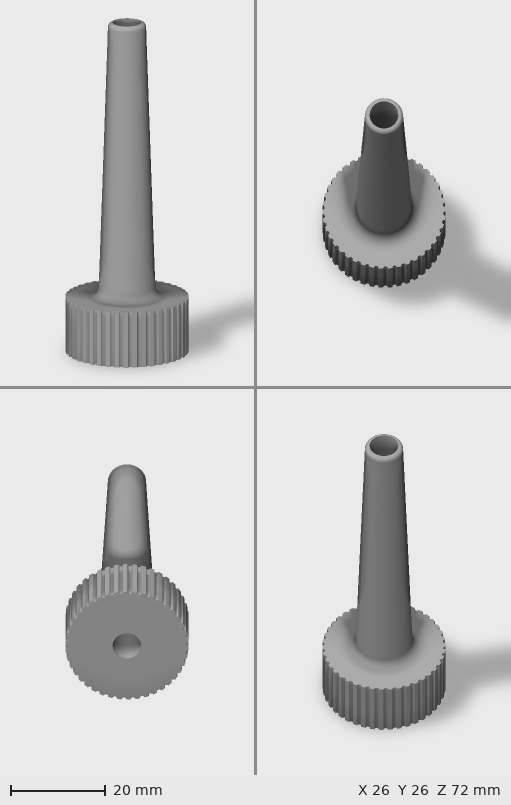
import cadquery as cq
import math

total_height = 72.0

head_diameter = 26.0
head_height = 12.0
groove_count = 42
groove_radius = 0.5

stem_base_radius = 6.0
root_fillet = 2.0
bore_radius = 3.0
tip_round = 1.0

head_radius = head_diameter / 2
stem_base_z = head_height + root_fillet
stem_tip_z = total_height - tip_round
stem_tip_radius = bore_radius + tip_round
arc_sag = 1 - math.sqrt(0.5)


def turned_body():
    """Head, flared root, tapered stem and rounded tip around the through bore."""
    root_mid = (stem_base_radius + root_fillet * arc_sag, head_height + root_fillet * arc_sag)
    tip_mid = (stem_tip_radius - tip_round * arc_sag, total_height - tip_round * arc_sag)
    profile = (
        cq.Workplane("XZ")
        .moveTo(bore_radius, 0)
        .lineTo(head_radius, 0)
        .lineTo(head_radius, head_height)
        .lineTo(stem_base_radius + root_fillet, head_height)
        .threePointArc(root_mid, (stem_base_radius, stem_base_z))
        .lineTo(stem_tip_radius, stem_tip_z)
        .threePointArc(tip_mid, (bore_radius, total_height))
        .close()
    )
    return profile.revolve(360, (0, 0, 0), (0, 1, 0))


def grip_grooves():
    """Half-round grooves along the rim of the head, the first one facing +Y."""
    return (
        cq.Workplane("XY")
        .polarArray(head_radius, 90, 360, groove_count)
        .circle(groove_radius)
        .extrude(head_height)
    )


result = turned_body().cut(grip_grooves())